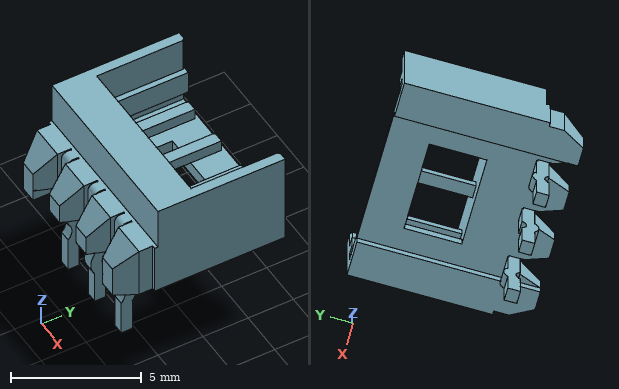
import cadquery as cq


HOUSING_WIDTH = 8.0
HOUSING_HEIGHT = 4.2
HOUSING_FRONT = -5.65
SIDE_WALL = 0.45
CAVITY_FRONT = -3.92
LEAD_IN = 0.1

RAIL_WIDTH = 0.25
RAIL_BOTTOM = 1.6
RAIL_TOP = 2.65
UNDERCUT = 0.1

FLOOR_TOP = 1.1
FLOOR_HALF_WIDTH = 3.13
FLOOR_BEVEL = 0.16
FLOOR_BACK_BEVEL = 0.1
WINDOW_BACK = -1.63
WINDOW_HALF_WIDTH = 1.75

CHANNEL_HALF_WIDTH = 2.62
CHANNEL_HEIGHT = 0.5

PLATE_TOP = 2.3
PLATE_FRONT = -5.8
TOOTH_SHOULDER = -6.4
TOOTH_TIP = -7.3
INNER_TAPER = 0.32
OUTER_TAPER = 0.49
OUTER_TOOTH_EDGE = 3.85

PIN_COUNT = 3
PIN_PITCH = 2.0
PIN_SIZE = 0.5
PIN_GAP = 0.6
PIN_TOP = PLATE_TOP
PIN_BACK = -0.62
PIN_LEG_AXIS = -6.0
PIN_BOTTOM = -3.5
BEND_RADIUS = 0.25
KINK_CENTER = -1.5
KINK_DEPTH = 0.17
KINK_OUTER_HALF = 0.53
KINK_INNER_HALF = 0.4

PIN_POSITIONS = [(i - (PIN_COUNT - 1) / 2) * PIN_PITCH for i in range(PIN_COUNT)]
CAVITY_HALF_WIDTH = HOUSING_WIDTH / 2 - SIDE_WALL
RAIL_HALF_GAP = CAVITY_HALF_WIDTH - RAIL_WIDTH
LEDGE_TOP = FLOOR_TOP - FLOOR_BEVEL


def block(x_range, y_range, z_range):
    """Axis-aligned box between the given limits."""
    size = [limits[1] - limits[0] for limits in (x_range, y_range, z_range)]
    corner = (x_range[0], y_range[0], z_range[0])
    return cq.Workplane("XY").box(*size, centered=False).translate(corner)


def upper_cavity():
    """Cavity above the rails, flared by the lead-in at the open end."""
    flared = CAVITY_HALF_WIDTH + LEAD_IN
    return (
        cq.Workplane("XY", origin=(0, 0, RAIL_TOP))
        .polyline([
            (-CAVITY_HALF_WIDTH, CAVITY_FRONT),
            (CAVITY_HALF_WIDTH, CAVITY_FRONT),
            (CAVITY_HALF_WIDTH, -LEAD_IN),
            (flared, 0),
            (-flared, 0),
            (-CAVITY_HALF_WIDTH, -LEAD_IN),
        ])
        .close()
        .extrude(HOUSING_HEIGHT - RAIL_TOP)
    )


def cavity_layer(half_width, bottom, top):
    """Straight-sided layer of the cavity, open at y = 0."""
    return block((-half_width, half_width), (CAVITY_FRONT, 0), (bottom, top))


def raised_floor():
    """Raised middle of the cavity floor, bevelled along its sides and its back edge."""
    foot = FLOOR_HALF_WIDTH + FLOOR_BEVEL
    floor = (
        cq.Workplane("XZ")
        .polyline([
            (-foot, LEDGE_TOP),
            (foot, LEDGE_TOP),
            (FLOOR_HALF_WIDTH, FLOOR_TOP),
            (-FLOOR_HALF_WIDTH, FLOOR_TOP),
        ])
        .close()
        .extrude(-CAVITY_FRONT)
    )
    return floor.faces(">Y").edges(">Z").chamfer(FLOOR_BACK_BEVEL)


def housing():
    """Box open at the top and at y = 0, with guide rails, floor and window."""
    half = HOUSING_WIDTH / 2
    body = block((-half, half), (HOUSING_FRONT, 0), (0, HOUSING_HEIGHT))
    body = body.cut(upper_cavity())
    body = body.cut(cavity_layer(RAIL_HALF_GAP, RAIL_BOTTOM, RAIL_TOP))
    body = body.cut(cavity_layer(CAVITY_HALF_WIDTH + UNDERCUT, LEDGE_TOP, RAIL_BOTTOM))
    body = body.union(raised_floor())
    window = block(
        (-WINDOW_HALF_WIDTH, WINDOW_HALF_WIDTH), (CAVITY_FRONT, WINDOW_BACK), (0, FLOOR_TOP)
    )
    return body.cut(window)


def tooth(left, right, left_taper, right_taper):
    """Tooth that narrows from its shoulder to its tip."""
    return (
        cq.Workplane("XY")
        .polyline([
            (left, PLATE_FRONT),
            (left, TOOTH_SHOULDER),
            (left + left_taper, TOOTH_TIP),
            (right - right_taper, TOOTH_TIP),
            (right, TOOTH_SHOULDER),
            (right, PLATE_FRONT),
        ])
        .close()
        .extrude(PLATE_TOP)
    )


def teeth():
    """Row of teeth on either side of the pins, sloped at 45 degrees above the tips."""
    gap_edges = [x + side * PIN_GAP / 2 for x in PIN_POSITIONS for side in (-1, 1)]
    edges = [-OUTER_TOOTH_EDGE] + gap_edges + [OUTER_TOOTH_EDGE]
    row = cq.Workplane("XY")
    for i in range(PIN_COUNT + 1):
        left_taper = OUTER_TAPER if i == 0 else INNER_TAPER
        right_taper = OUTER_TAPER if i == PIN_COUNT else INNER_TAPER
        row = row.union(tooth(edges[2 * i], edges[2 * i + 1], left_taper, right_taper))
    slope_drop = TOOTH_SHOULDER - TOOTH_TIP
    slope = (
        cq.Workplane("YZ")
        .polyline([
            (TOOTH_SHOULDER, PLATE_TOP),
            (TOOTH_TIP, PLATE_TOP),
            (TOOTH_TIP, PLATE_TOP - slope_drop),
        ])
        .close()
        .extrude(HOUSING_WIDTH / 2, both=True)
    )
    return row.cut(slope)


def pin(x, kink_direction):
    """Right-angle pin whose leg is kinked toward -Y or +Y (kink_direction -1 or +1)."""
    half = PIN_SIZE / 2
    front = PIN_LEG_AXIS - half
    back = PIN_LEG_AXIS + half
    shift = kink_direction * KINK_DEPTH
    front_half, back_half = KINK_INNER_HALF, KINK_OUTER_HALF
    if kink_direction < 0:
        front_half, back_half = KINK_OUTER_HALF, KINK_INNER_HALF
    return (
        cq.Workplane("YZ", origin=(x - half, 0, 0))
        .moveTo(PIN_BACK, PIN_TOP)
        .lineTo(front + BEND_RADIUS, PIN_TOP)
        .radiusArc((front, PIN_TOP - BEND_RADIUS), -BEND_RADIUS)
        .lineTo(front, KINK_CENTER + front_half)
        .threePointArc((front + shift, KINK_CENTER), (front, KINK_CENTER - front_half))
        .lineTo(front, PIN_BOTTOM)
        .lineTo(back, PIN_BOTTOM)
        .lineTo(back, KINK_CENTER - back_half)
        .threePointArc((back + shift, KINK_CENTER), (back, KINK_CENTER + back_half))
        .lineTo(back, PIN_TOP - PIN_SIZE)
        .lineTo(PIN_BACK, PIN_TOP - PIN_SIZE)
        .close()
        .extrude(PIN_SIZE)
    )


front_plate = block(
    (-HOUSING_WIDTH / 2, HOUSING_WIDTH / 2), (PLATE_FRONT, HOUSING_FRONT), (0, PLATE_TOP)
)
channel = block((-CHANNEL_HALF_WIDTH, CHANNEL_HALF_WIDTH), (TOOTH_TIP, 0), (0, CHANNEL_HEIGHT))
result = housing().union(front_plate).union(teeth()).cut(channel)

for index, position in enumerate(PIN_POSITIONS):
    result = result.union(pin(position, 1 if index % 2 == 0 else -1))